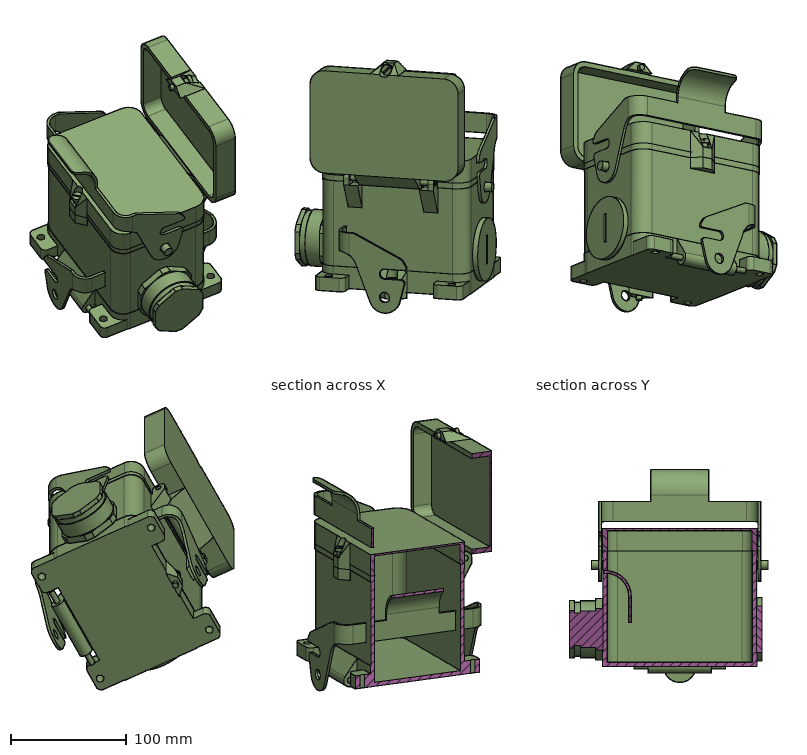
import cadquery as cq
import math


RIM_HALF_X = 66.9
RIM_HALF_Y = 45.3
RIM_RADIUS = 12.8
RIM_HEIGHT = 19.3
LID_WALL = 4.6
LID_PLATE = 2.0

HOUSING_TOP = 100.0
BODY_INSET = 0.35
BAND_HEIGHT = 5.2
WALL = 4.0
FLOOR = 4.0
FOOT_HEIGHT = 12.1
FOOT_REACH_Y = 59.6
FOOT_HALF_X = 66.5
FOOT_INNER_X = 39.7
FOOT_RADIUS = 4.7
FOOT_HOLE_D = 6.5
FOOT_HOLE_X = 55.7
FOOT_HOLE_Y = 52.9
PEG_D = 8.0
PEG_TIP_X = 76.3
PEG_Z = 87.7

HINGE_Y = 52.2
HINGE_RISE = 0.3
KNUCKLE_R = 6.0
HINGE_PIN_D = 5.0
PIN_PROUD = 0.3
LUG_HALF_X = 27.3
EAR_INNER_X = 35.7
EAR_OUTER_X = 40.5
EAR_WEB_INNER_X = 27.8
EAR_FOOT_DROP = 27.6
WEDGE_REACH = 6.5
WEDGE_DROP = 8.5
WEDGE_BOTTOM = 17.8
KNUCKLE_CLEARANCE = 0.1

LATCH_HALF_BASE = 12.8
LATCH_HALF_NOSE = 4.8
LATCH_REACH = 7.4
LATCH_ROOT = 1.0
LATCH_OVERHANG = 5.0
LATCH_SHELF = 4.5
KEEPER_BOTTOM = 85.3
SCREW_Y = 48.0
SCREW_HEAD_D = 9.0
SCREW_HEAD_Z = 9.0
SCREW_HEAD_HEIGHT = 3.2
SCREW_NECK_D = 6.0
SCREW_SLOT_WIDTH = 1.2
SCREW_SLOT_DEPTH = 1.5
SCREW_SLOT_TURN = 45.0
SCREW_TIP_D = 5.1
SCREW_TIP_LENGTH = 3.4

BAIL_HALF_WIDTH = 69.95
BAIL_REACH = 44.2
BAIL_SHEET = 2.4
BAIL_BEND_R = 12.3
BAIL_EYE_D = 9.0
BAIL_TIP_R = 14.0
BAIL_FRONT_LEAN = 21.3
BAIL_BACK_LEAN = 14.7
BRIDGE_BOTTOM = 37.6
BRIDGE_TOP = 54.9
SHOULDER_X = 28.0
THROAT_R = 15.0
JAW_KNEE_X = -15.6
JAW_KNEE_Z = 34.2
JAW_KNEE_R = 8.0
JAW_TIP_X = -21.2
JAW_TIP_R = 2.0
HEEL_R = 3.0
SLOT_BOTTOM = 16.2
SLOT_TOP = 25.0
SLOT_END = 4.5
SLOT_R = 4.39
LIP_HALF_WIDTH = 25.2
LIP_START = 60.3
LIP_R = 22.4
LIP_FLAT = 0.9
LIP_CORNER_R = 7.0
LOWER_PIVOT_Z = 0.3

ENTRY_Z = 32.3
PLUG_D = 55.0
PLUG_FACE_X = -71.2
PLUG_SLOT_WIDTH = 2.8
PLUG_SLOT_LENGTH = 25.0
PLUG_SLOT_DEPTH = 1.5
GLAND_NUT_END = 72.7
GLAND_NUT_APEX = 26.6
GLAND_BARREL_END = 85.9
GLAND_BARREL_D = 49.3
GLAND_NECK_END = 91.0
GLAND_NECK_D = 47.0
GLAND_END = 95.3
GLAND_CAP_APEX = 25.0
HEX_TRUNCATION = 0.14


def rounded_block(half_x, half_y, radius, bottom, top):
    """Upright block centred on the Z axis, with round corners."""
    block = cq.Workplane("XY").workplane(offset=bottom).rect(2 * half_x, 2 * half_y)
    return block.extrude(top - bottom).edges("|Z").fillet(radius)


def post(x, y, bottom, height, diameter):
    """Upright cylinder."""
    return cq.Workplane("XY", origin=(x, y, bottom)).circle(diameter / 2).extrude(height)


def bar_x(x_start, x_end, y, z, diameter):
    """Cylinder along X."""
    bar = cq.Workplane("YZ", origin=(x_start, y, z)).circle(diameter / 2)
    return bar.extrude(x_end - x_start)


def plate_x(x_start, x_end, points):
    """Prism along X with its outline given in Y and Z."""
    return cq.Workplane("YZ", origin=(x_start, 0, 0)).polyline(points).close().extrude(x_end - x_start)


def tangent_point(y, z, centre_y, centre_z, radius):
    """Point where a line from (y, z) touches a circle, on the side facing +Y."""
    away = math.atan2(z - centre_z, y - centre_y)
    swing = math.acos(radius / math.hypot(y - centre_y, z - centre_z))
    angle = away - swing
    return centre_y + radius * math.cos(angle), centre_z + radius * math.sin(angle)


def latch_prism(bottom, top):
    """Plain latch block that tapers to its nose."""
    back = -RIM_HALF_Y + LATCH_ROOT
    wall = -RIM_HALF_Y
    nose = -RIM_HALF_Y - LATCH_REACH
    half = [(LATCH_HALF_BASE, back), (LATCH_HALF_BASE, wall), (LATCH_HALF_NOSE, nose)]
    mirrored = [(-x, y) for x, y in reversed(half)]
    outline = cq.Workplane("XY").workplane(offset=bottom).polyline(half + mirrored).close()
    return outline.extrude(top - bottom)


def screw_channel():
    """Round channel above the latch shelf, open toward the nose."""
    width = 2 * LATCH_HALF_NOSE
    height = RIM_HEIGHT - LATCH_SHELF
    nose = -RIM_HALF_Y - LATCH_REACH
    mouth = cq.Workplane("XY", origin=(0, nose, LATCH_SHELF)).box(
        width, -SCREW_Y - nose, height, centered=(True, False, False)
    )
    return post(0, -SCREW_Y, LATCH_SHELF, height, width).union(mouth)


def latch():
    """Latch block with sloping top and slotted screw."""
    wall = -RIM_HALF_Y
    nose = wall - LATCH_REACH
    slope_cut = plate_x(
        -LATCH_HALF_BASE,
        LATCH_HALF_BASE,
        [(wall, RIM_HEIGHT), (nose, LATCH_SHELF), (nose, RIM_HEIGHT)],
    )
    clearance = cq.Workplane("XY").box(
        2 * LATCH_HALF_BASE, LATCH_ROOT, LATCH_OVERHANG, centered=(True, False, False)
    ).translate((0, wall, -LATCH_OVERHANG))
    neck = post(0, -SCREW_Y, LATCH_SHELF, SCREW_HEAD_Z - LATCH_SHELF, SCREW_NECK_D)
    head = post(0, -SCREW_Y, SCREW_HEAD_Z, SCREW_HEAD_HEIGHT, SCREW_HEAD_D)
    head_slot = cq.Workplane("XY").box(2 * SCREW_HEAD_D, SCREW_SLOT_WIDTH, 2 * SCREW_SLOT_DEPTH)
    head_slot = head_slot.rotate((0, 0, 0), (0, 0, 1), SCREW_SLOT_TURN)
    head = head.cut(head_slot.translate((0, -SCREW_Y, SCREW_HEAD_Z + SCREW_HEAD_HEIGHT)))
    tip_bottom = -LATCH_OVERHANG - SCREW_TIP_LENGTH
    tip = post(0, -SCREW_Y, tip_bottom, SCREW_TIP_LENGTH, SCREW_TIP_D)
    block = latch_prism(-LATCH_OVERHANG, RIM_HEIGHT).cut(slope_cut).cut(clearance).cut(screw_channel())
    return block.union(neck).union(head).union(tip)


def hinge_lug():
    """Sloping web that ends in a bored knuckle."""
    corner = (RIM_HALF_Y, RIM_HEIGHT)
    touch = tangent_point(*corner, HINGE_Y, HINGE_RISE, KNUCKLE_R)
    web = plate_x(
        -LUG_HALF_X,
        LUG_HALF_X,
        [corner, touch, (HINGE_Y, HINGE_RISE), (RIM_HALF_Y, HINGE_RISE)],
    )
    knuckle = bar_x(-LUG_HALF_X, LUG_HALF_X, HINGE_Y, HINGE_RISE, 2 * KNUCKLE_R)
    bore = bar_x(-LUG_HALF_X, LUG_HALF_X, HINGE_Y, HINGE_RISE, HINGE_PIN_D)
    return web.union(knuckle).cut(bore)


def lid_shell():
    """Lid with its rim at Z = 0, opening downward, with the latch on its front."""
    shell = rounded_block(RIM_HALF_X, RIM_HALF_Y, RIM_RADIUS, 0, RIM_HEIGHT)
    hollow = rounded_block(
        RIM_HALF_X - LID_WALL,
        RIM_HALF_Y - LID_WALL,
        RIM_RADIUS - LID_WALL,
        0,
        RIM_HEIGHT - LID_PLATE,
    )
    return shell.cut(hollow).cut(screw_channel()).union(latch().cut(hollow))


def closed_lid():
    """Lid shut on the housing, with a sloping wedge above the hinge knuckle."""
    wedge = plate_x(
        -LUG_HALF_X,
        LUG_HALF_X,
        [
            (RIM_HALF_Y, RIM_HEIGHT),
            (RIM_HALF_Y + WEDGE_REACH, RIM_HEIGHT - WEDGE_DROP),
            (RIM_HALF_Y + WEDGE_REACH, RIM_HEIGHT - WEDGE_BOTTOM),
            (RIM_HALF_Y, RIM_HEIGHT - WEDGE_BOTTOM),
        ],
    )
    knuckle_space = bar_x(
        -LUG_HALF_X, LUG_HALF_X, HINGE_Y, HINGE_RISE, 2 * (KNUCKLE_R + KNUCKLE_CLEARANCE)
    )
    return lid_shell().union(wedge.cut(knuckle_space)).translate((0, 0, HOUSING_TOP))


def open_lid():
    """Lid swung up a quarter turn about the rear hinge."""
    lid = lid_shell().union(hinge_lug())
    lid = lid.rotate((0, HINGE_Y, HINGE_RISE), (1, HINGE_Y, HINGE_RISE), -90)
    return lid.translate((0, 0, HOUSING_TOP))


def rounded_outline(corners):
    """Closed XZ outline through corners (x, z, radius); a radius of 0 keeps the corner sharp."""
    legs = []
    for i, (x, z, radius) in enumerate(corners):
        corner = cq.Vector(x, z, 0)
        before = (cq.Vector(*corners[i - 1][:2], 0) - corner).normalized()
        after = (cq.Vector(*corners[(i + 1) % len(corners)][:2], 0) - corner).normalized()
        half_angle = before.getAngle(after) / 2
        setback = radius / math.tan(half_angle)
        middle = (before + after).normalized() * (radius / math.sin(half_angle) - radius)
        legs.append((corner + before * setback, corner + middle, corner + after * setback, radius))
    outline = cq.Workplane("XZ").moveTo(*legs[-1][2].toTuple()[:2])
    for start, middle, end, radius in legs:
        outline = outline.lineTo(*start.toTuple()[:2])
        if radius:
            outline = outline.threePointArc(middle.toTuple()[:2], end.toTuple()[:2])
    return outline.close()


def bail_side_profile():
    """Side shape of the bail, as a prism over the full width."""
    front = math.radians(BAIL_FRONT_LEAN)
    back = math.radians(BAIL_BACK_LEAN)
    tip_front = (BAIL_TIP_R * math.cos(front), -BAIL_TIP_R * math.sin(front))
    tip_back = (-BAIL_TIP_R * math.cos(back), -BAIL_TIP_R * math.sin(back))
    throat_x = tip_front[0] + (BRIDGE_BOTTOM - tip_front[1]) * math.tan(front)
    heel_x = tip_back[0] - (SLOT_BOTTOM - tip_back[1]) * math.tan(back)
    corners = [
        (*tip_back, 0),
        (*tip_front, 0),
        (throat_x, BRIDGE_BOTTOM, THROAT_R),
        (BAIL_REACH, BRIDGE_BOTTOM, 0),
        (BAIL_REACH, BRIDGE_TOP, 0),
        (SHOULDER_X, BRIDGE_TOP, 0),
        (JAW_KNEE_X, JAW_KNEE_Z, JAW_KNEE_R),
        (JAW_TIP_X, SLOT_TOP, JAW_TIP_R),
        (SLOT_END, SLOT_TOP, SLOT_R),
        (SLOT_END, SLOT_BOTTOM, SLOT_R),
        (heel_x, SLOT_BOTTOM, HEEL_R),
    ]
    profile = rounded_outline(corners).extrude(BAIL_HALF_WIDTH, both=True)
    tip = cq.Workplane("XZ").circle(BAIL_TIP_R).extrude(BAIL_HALF_WIDTH, both=True)
    eye = cq.Workplane("XZ").circle(BAIL_EYE_D / 2).extrude(BAIL_HALF_WIDTH, both=True)
    return profile.union(tip).cut(eye)


def bail_strip():
    """U-shaped sheet strip seen from above, as a tall prism."""
    tail = 2 * BAIL_TIP_R
    low = -2 * BAIL_TIP_R
    high = 2 * BRIDGE_TOP

    def layer(inset, bend):
        length = BAIL_REACH - inset + tail
        width = 2 * (BAIL_HALF_WIDTH - inset)
        block = cq.Workplane("XY", origin=(-tail, 0, low)).box(
            length, width, high - low, centered=(False, True, False)
        )
        return block.edges("|Z and >X").fillet(bend)

    return layer(0, BAIL_BEND_R).cut(layer(BAIL_SHEET, BAIL_BEND_R - BAIL_SHEET))


def bail_lip():
    """Finger lip on the bridge, curling outward at the top."""
    inner = BAIL_REACH - BAIL_SHEET
    centre_x = inner + LIP_R
    end_x = centre_x + LIP_FLAT
    small_r = LIP_R - BAIL_SHEET
    diagonal = math.sqrt(0.5)
    lip = (
        cq.Workplane("XZ")
        .moveTo(inner, BRIDGE_TOP)
        .lineTo(inner, LIP_START)
        .threePointArc(
            (centre_x - LIP_R * diagonal, LIP_START + LIP_R * diagonal), (centre_x, LIP_START + LIP_R)
        )
        .lineTo(end_x, LIP_START + LIP_R)
        .lineTo(end_x, LIP_START + small_r)
        .lineTo(centre_x, LIP_START + small_r)
        .threePointArc(
            (centre_x - small_r * diagonal, LIP_START + small_r * diagonal), (BAIL_REACH, LIP_START)
        )
        .lineTo(BAIL_REACH, BRIDGE_TOP)
        .close()
        .extrude(LIP_HALF_WIDTH, both=True)
    )
    trim_length = end_x - inner
    trim = cq.Workplane("XY", origin=(inner, 0, BRIDGE_TOP)).box(
        trim_length, 2 * LIP_HALF_WIDTH, LIP_START + LIP_R, centered=(False, True, False)
    )
    return lip.intersect(trim.edges("|Z and >X").fillet(LIP_CORNER_R))


def bail(turn, pivot_z):
    """Bail turned about Z and lifted to its pivot."""
    blank = bail_side_profile().intersect(bail_strip()).union(bail_lip())
    return blank.rotate((0, 0, 0), (0, 0, 1), turn).translate((0, 0, pivot_z))


def feet():
    """Four drilled feet, joined under the housing."""
    ledge = rounded_block(FOOT_HALF_X, FOOT_REACH_Y, FOOT_RADIUS, 0, FOOT_HEIGHT)
    for side in (-1, 1):
        notch_depth = FOOT_REACH_Y - RIM_HALF_Y
        notch = cq.Workplane("XY", origin=(0, side * (RIM_HALF_Y + notch_depth), 0)).box(
            2 * FOOT_INNER_X, 2 * notch_depth, FOOT_HEIGHT, centered=(True, True, False)
        )
        ledge = ledge.cut(notch)
        outer_y = side * FOOT_REACH_Y
        for x in (-FOOT_INNER_X, FOOT_INNER_X):
            corner = cq.selectors.NearestToPointSelector((x, outer_y, FOOT_HEIGHT / 2))
            ledge = ledge.edges("|Z").edges(corner).fillet(FOOT_RADIUS)
    for x in (-FOOT_HOLE_X, FOOT_HOLE_X):
        for y in (-FOOT_HOLE_Y, FOOT_HOLE_Y):
            ledge = ledge.cut(post(x, y, 0, FOOT_HEIGHT, FOOT_HOLE_D))
    return ledge


def hinge_ears():
    """Two rear ears that carry the pin of the open lid."""
    axis_z = HOUSING_TOP + HINGE_RISE
    root_y = RIM_HALF_Y - BODY_INSET
    band_bottom = HOUSING_TOP - BAND_HEIGHT
    inner_y = HINGE_Y - KNUCKLE_R
    outer_y = HINGE_Y + KNUCKLE_R
    web = [(root_y, HOUSING_TOP - EAR_FOOT_DROP), (outer_y, band_bottom), (root_y, band_bottom)]
    eye = [(outer_y, band_bottom), (outer_y, axis_z), (inner_y, axis_z), (inner_y, band_bottom)]
    pin_end = EAR_OUTER_X + PIN_PROUD
    ears = bar_x(-pin_end, pin_end, HINGE_Y, axis_z, HINGE_PIN_D)
    for side in (-1, 1):
        web_start, web_end = sorted((side * EAR_WEB_INNER_X, side * EAR_OUTER_X))
        eye_start, eye_end = sorted((side * EAR_INNER_X, side * EAR_OUTER_X))
        ears = ears.union(plate_x(web_start, web_end, web))
        ears = ears.union(plate_x(eye_start, eye_end, eye))
        ears = ears.union(bar_x(eye_start, eye_end, HINGE_Y, axis_z, 2 * KNUCKLE_R))
    return ears


def base_collar():
    """Collar at the bottom, with the hinge at the front and the latch at the rear."""
    collar = rounded_block(RIM_HALF_X, RIM_HALF_Y, RIM_RADIUS, 0, RIM_HEIGHT)
    pin = bar_x(-FOOT_INNER_X, FOOT_INNER_X, HINGE_Y, HINGE_RISE, HINGE_PIN_D)
    fitted = collar.cut(screw_channel()).union(latch()).union(hinge_lug()).union(pin)
    return fitted.rotate((0, 0, 0), (0, 0, 1), 180)


def housing(inserts):
    """Hollow housing with recesses for the bodies that enter its walls."""
    half_x = RIM_HALF_X - BODY_INSET
    half_y = RIM_HALF_Y - BODY_INSET
    band_bottom = HOUSING_TOP - BAND_HEIGHT
    keeper_top = HOUSING_TOP - LATCH_OVERHANG
    keeper_hole = post(0, -SCREW_Y, keeper_top - SCREW_TIP_LENGTH, SCREW_TIP_LENGTH, SCREW_TIP_D)
    hollow = rounded_block(half_x - WALL, half_y - WALL, RIM_RADIUS - WALL, FLOOR, HOUSING_TOP)
    shell = (
        base_collar()
        .union(feet())
        .union(rounded_block(half_x, half_y, RIM_RADIUS, RIM_HEIGHT, HOUSING_TOP))
        .union(rounded_block(RIM_HALF_X, RIM_HALF_Y, RIM_RADIUS, band_bottom, HOUSING_TOP))
        .union(latch_prism(KEEPER_BOTTOM, keeper_top))
        .cut(keeper_hole)
        .union(hinge_ears())
        .union(bar_x(-PEG_TIP_X, PEG_TIP_X, 0, PEG_Z, PEG_D))
        .cut(hollow)
    )
    for insert in inserts:
        shell = shell.cut(insert)
    return shell


def plug():
    """Round blanking plug with a screwdriver slot."""
    wall_x = BODY_INSET - RIM_HALF_X
    disc = bar_x(PLUG_FACE_X, wall_x, 0, ENTRY_Z, PLUG_D)
    slot = cq.Workplane("XY", origin=(PLUG_FACE_X, 0, ENTRY_Z)).box(
        2 * PLUG_SLOT_DEPTH, PLUG_SLOT_WIDTH, PLUG_SLOT_LENGTH
    )
    return disc.cut(slot)


def truncated_hex(x_start, x_end, apex):
    """Hexagonal nut section along X with a corner flat at the top."""
    points = []
    for i in range(6):
        angle = math.radians(60 * i)
        for across in (-HEX_TRUNCATION * apex, HEX_TRUNCATION * apex):
            y = across * math.cos(angle) + apex * math.sin(angle)
            z = apex * math.cos(angle) - across * math.sin(angle)
            points.append((y, z + ENTRY_Z))
    return plate_x(x_start, x_end, points)


def gland():
    """Cable gland stepped along X."""
    wall_x = RIM_HALF_X - BODY_INSET
    return (
        truncated_hex(wall_x, GLAND_NUT_END, GLAND_NUT_APEX)
        .union(bar_x(GLAND_NUT_END, GLAND_BARREL_END, 0, ENTRY_Z, GLAND_BARREL_D))
        .union(bar_x(GLAND_BARREL_END, GLAND_NECK_END, 0, ENTRY_Z, GLAND_NECK_D))
        .union(truncated_hex(GLAND_NECK_END, GLAND_END, GLAND_CAP_APEX))
    )


bails = [bail(turn, pivot_z) for turn, pivot_z in ((-90, PEG_Z), (0, LOWER_PIVOT_Z))]
entry_plug = plug()
entry_gland = gland()
main_housing = housing([bails[1], entry_plug, entry_gland])
bodies = [main_housing, closed_lid(), open_lid(), entry_plug, entry_gland, *bails]
result = cq.Compound.makeCompound([body.solids().val() for body in bodies])